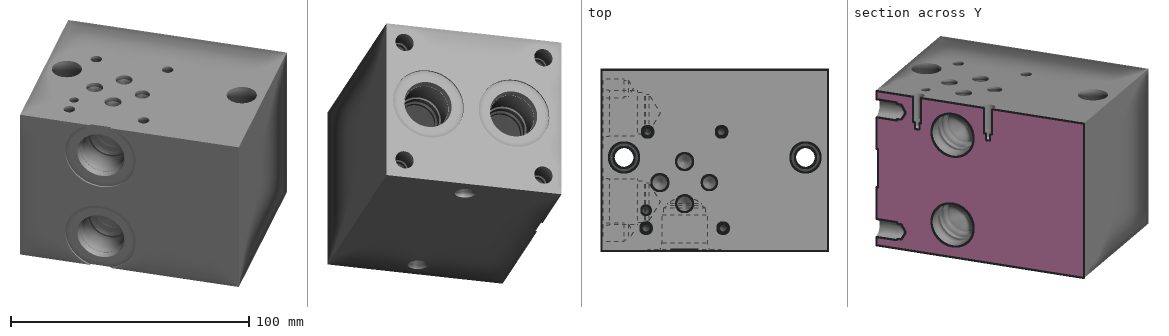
import cadquery as cq
import math

LENGTH = 95.25
DEPTH = 76.2
HEIGHT = 69.8

TIP_ANGLE = 118.0

SPOTFACE_DIAMETER = 30.7
SPOTFACE_DEPTH = 0.8
SEAT_MOUTH_DIAMETER = 20.6
SEAT_END_DIAMETER = 19.2
SEAT_END_DEPTH = 3.3
THREAD_DIAMETER = 19.05
THREAD_DEPTH = 15.2
TAP_DRILL_DIAMETER = 17.5
TAP_DRILL_DEPTH = 18.1
PILOT_DEPTH = 20.0
WORK_PILOT_DIAMETER = 14.3
SUPPLY_PILOT_DIAMETER = 15.9

WORK_PORT_X = 35.0
WORK_PORT_EDGE = 14.7
SUPPLY_PORT_YS = (20.7, 57.9)

CORNER_EDGE = 7.9
CORNER_THREAD_DIAMETER = 7.9
CORNER_THREAD_DEPTH = 9.5
CORNER_DRILL_DIAMETER = 6.6
CORNER_DRILL_DEPTH = 11.4

MOUNT_EDGE = 9.5
MOUNT_Y = 39.3
MOUNT_DIAMETER = 8.8
MOUNT_BORE_DIAMETER = 12.7
MOUNT_BORE_DEPTH = 9.5

SCREW_ROW_YS = (9.6, 50.1)
SCREW_HALF_SPANS = (16.2, 15.5)
SCREW_THREAD_DIAMETER = 4.9
SCREW_THREAD_DEPTH = 11.4
SCREW_DRILL_DIAMETER = 3.8
SCREW_DRILL_DEPTH = 14.3
PIN_Y = 17.1
PIN_DIAMETER = 4.0
PIN_DEPTH = 3.8
VALVE_CENTER_Y = 28.8
VALVE_PORT_OFFSET_X = 10.4
VALVE_PORT_OFFSET_Y = 8.9
VALVE_PORT_DIAMETER = 7.1
VALVE_PRESSURE_DIAMETER = 6.4
VALVE_PORT_DEPTH = 1.9

INTO_X = cq.Vector(1, 0, 0)
INTO_Y = cq.Vector(0, 1, 0)
DOWN = cq.Vector(0, 0, -1)


def cylinder(mouth, direction, diameter, depth):
    return cq.Solid.makeCylinder(diameter / 2, depth, cq.Vector(*mouth), direction)


def drilling(mouth, direction, diameter, depth):
    """Blind drilled hole: full diameter down to depth, then a conical drill point."""
    radius = diameter / 2
    tip_height = radius / math.tan(math.radians(TIP_ANGLE / 2))
    tip_base = cq.Vector(*mouth) + direction * depth
    tip = cq.Solid.makeCone(radius, 0, tip_height, tip_base, direction)
    return cylinder(mouth, direction, diameter, depth).fuse(tip)


def tapped_hole(mouth, direction, thread_diameter, thread_depth, drill_diameter, drill_depth):
    thread = cylinder(mouth, direction, thread_diameter, thread_depth)
    return thread.fuse(drilling(mouth, direction, drill_diameter, drill_depth))


def threaded_port(mouth, direction, pilot_diameter):
    spotface = cylinder(mouth, direction, SPOTFACE_DIAMETER, SPOTFACE_DEPTH)
    seat = cq.Solid.makeCone(
        SEAT_MOUTH_DIAMETER / 2,
        SEAT_END_DIAMETER / 2,
        SEAT_END_DEPTH - SPOTFACE_DEPTH,
        cq.Vector(*mouth) + direction * SPOTFACE_DEPTH,
        direction,
    )
    thread = cylinder(mouth, direction, THREAD_DIAMETER, THREAD_DEPTH)
    tap_drill = drilling(mouth, direction, TAP_DRILL_DIAMETER, TAP_DRILL_DEPTH)
    pilot = drilling(mouth, direction, pilot_diameter, PILOT_DEPTH)
    return spotface.fuse(seat, thread, tap_drill, pilot)


def mounting_hole(x):
    mouth = (x, MOUNT_Y, HEIGHT)
    counterbore = cylinder(mouth, DOWN, MOUNT_BORE_DIAMETER, MOUNT_BORE_DEPTH)
    return counterbore.fuse(cylinder(mouth, DOWN, MOUNT_DIAMETER, HEIGHT))


def valve_interface():
    cuts = []
    for y, half_span in zip(SCREW_ROW_YS, SCREW_HALF_SPANS):
        for side in (-1, 1):
            mouth = (WORK_PORT_X + side * half_span, y, HEIGHT)
            cuts.append(
                tapped_hole(
                    mouth,
                    DOWN,
                    SCREW_THREAD_DIAMETER,
                    SCREW_THREAD_DEPTH,
                    SCREW_DRILL_DIAMETER,
                    SCREW_DRILL_DEPTH,
                )
            )

    pin_mouth = (WORK_PORT_X - max(SCREW_HALF_SPANS), PIN_Y, HEIGHT)
    cuts.append(drilling(pin_mouth, DOWN, PIN_DIAMETER, PIN_DEPTH))

    flow_ports = (
        (-VALVE_PORT_OFFSET_X, 0, VALVE_PORT_DIAMETER),
        (VALVE_PORT_OFFSET_X, 0, VALVE_PRESSURE_DIAMETER),
        (0, -VALVE_PORT_OFFSET_Y, VALVE_PORT_DIAMETER),
        (0, VALVE_PORT_OFFSET_Y, VALVE_PORT_DIAMETER),
    )
    for offset_x, offset_y, diameter in flow_ports:
        mouth = (WORK_PORT_X + offset_x, VALVE_CENTER_Y + offset_y, HEIGHT)
        cuts.append(drilling(mouth, DOWN, diameter, VALVE_PORT_DEPTH))
    return cuts


def corner_holes():
    return [
        tapped_hole(
            (0, y, z),
            INTO_X,
            CORNER_THREAD_DIAMETER,
            CORNER_THREAD_DEPTH,
            CORNER_DRILL_DIAMETER,
            CORNER_DRILL_DEPTH,
        )
        for y in (CORNER_EDGE, DEPTH - CORNER_EDGE)
        for z in (CORNER_EDGE, HEIGHT - CORNER_EDGE)
    ]


cutters = valve_interface() + corner_holes()
for port_z in (WORK_PORT_EDGE, HEIGHT - WORK_PORT_EDGE):
    cutters.append(threaded_port((WORK_PORT_X, 0, port_z), INTO_Y, WORK_PILOT_DIAMETER))
for port_y in SUPPLY_PORT_YS:
    cutters.append(threaded_port((0, port_y, HEIGHT / 2), INTO_X, SUPPLY_PILOT_DIAMETER))
for mount_x in (MOUNT_EDGE, LENGTH - MOUNT_EDGE):
    cutters.append(mounting_hole(mount_x))

result = cq.Workplane("XY").box(LENGTH, DEPTH, HEIGHT, centered=False)
for cutter in cutters:
    result = result.cut(cq.Workplane(obj=cutter))